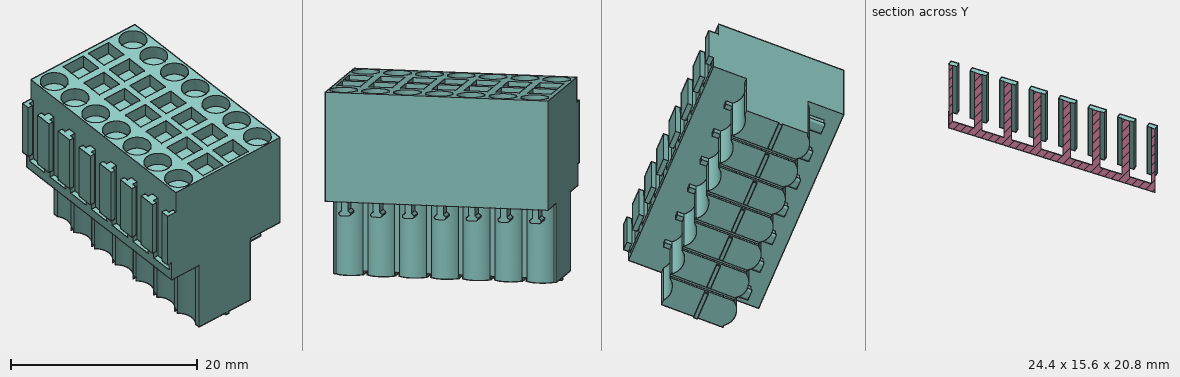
import cadquery as cq

POLES = 7
LENGTH = 24.4
PITCH = LENGTH / POLES
HEIGHT = 20.8
DEPTH = 15.6

HOUSING_BOTTOM = 8.9
WALL_FRONT = 1.15
LEDGE_FRONT = 0.55
RIB_BOTTOM = 11.27
RIB_TOP = 18.08
RIB_HEAD_WIDTH = 1.93
SLOT_WIDTH = 2.55
SLOT_BOTTOM = 10.05

WELL_SHIFT_X = 0.1
WELL_MIDDLE_Y = 8.35
WELL_DEPTH = 1.54
ROUND_DIAMETER = 2.98
ROUND_ROW_OFFSET = 5.47
SQUARE_SIZE_X = 2.59
SQUARE_SIZE_Y = 2.78
SQUARE_ROW_OFFSET = 1.75

PLUG_BOTTOM = 0.3
PLUG_FRONT = 4.05
PLUG_BACK = 11.47
PLUG_END_FRONT = 4.37
RIDGE_WIDTH = 0.54
CURVE_RISE = 0.73
CURVE_CHORD = PITCH - RIDGE_WIDTH
CURVE_RADIUS = (CURVE_CHORD**2 / 4 + CURVE_RISE**2) / (2 * CURVE_RISE)
NOTCH_WIDTH = 0.4
NOTCH_TOP = 0.7

STRIP_MIDDLE_Y = 8.3
STRIP_THICKNESS = 0.45
STRIP_GAP = 0.7

STUB_FRONT = 3.3
STUB_BOTTOM = 8.0

KEY_BACK = 13.85
KEY_BOTTOM = 7.08
KEY_ROUNDING = 0.3
BARB_RISE = 0.3
BARB_WIDTH = 1.3
WEB_WIDTH = 0.7

pole_centres = [(i - (POLES - 1) / 2) * PITCH for i in range(POLES)]
pole_borders = [(i - POLES / 2) * PITCH for i in range(POLES + 1)]
inner_borders = pole_borders[1:-1]


def block(x_range, y_range, z_range):
    """Box given by its lower and upper limits along each axis."""
    lower, upper = zip(x_range, y_range, z_range)
    size = [high - low for low, high in zip(lower, upper)]
    return cq.Workplane("XY").box(*size, centered=False).translate(lower)


def around(middle, width):
    """Lower and upper limit of a width centred on a middle."""
    return (middle - width / 2, middle + width / 2)


def upright_cylinder(x, y, radius, bottom, top):
    return cq.Workplane("XY", origin=(x, y, bottom)).circle(radius).extrude(top - bottom)


def make_housing():
    full_length = around(0, LENGTH)
    housing = block(full_length, (WALL_FRONT, DEPTH), (HOUSING_BOTTOM, HEIGHT))
    housing = housing.union(block(full_length, (LEDGE_FRONT, WALL_FRONT), (HOUSING_BOTTOM, RIB_TOP)))
    for x in pole_borders:
        head = block(around(x, RIB_HEAD_WIDTH), (0, LEDGE_FRONT), (RIB_BOTTOM, RIB_TOP))
        housing = housing.union(head)
    for x in pole_centres:
        slot = block(around(x, SLOT_WIDTH), (LEDGE_FRONT, WALL_FRONT), (SLOT_BOTTOM, RIB_TOP))
        housing = housing.cut(slot)
    return housing.intersect(block(full_length, (0, DEPTH), (HOUSING_BOTTOM, HEIGHT)))


def cut_wells(body):
    floor = HEIGHT - WELL_DEPTH
    for pole_x in pole_centres:
        x = pole_x + WELL_SHIFT_X
        for side in (-1, 1):
            round_y = WELL_MIDDLE_Y + side * ROUND_ROW_OFFSET
            square_y = WELL_MIDDLE_Y + side * SQUARE_ROW_OFFSET
            body = body.cut(upright_cylinder(x, round_y, ROUND_DIAMETER / 2, floor, HEIGHT))
            square = block(around(x, SQUARE_SIZE_X), around(square_y, SQUARE_SIZE_Y), (floor, HEIGHT))
            body = body.cut(square)
    return body


def make_plug():
    z_range = (PLUG_BOTTOM, HOUSING_BOTTOM)
    plug = block(around(0, LENGTH), (PLUG_END_FRONT, PLUG_BACK), z_range)
    plug = plug.union(block(around(0, LENGTH - PITCH), (PLUG_FRONT, PLUG_END_FRONT), z_range))
    flute_y = PLUG_FRONT + CURVE_RISE - CURVE_RADIUS
    column_y = PLUG_BACK + CURVE_RISE - CURVE_RADIUS
    for x in pole_centres:
        behind_pole = block(around(x, PITCH), (PLUG_BACK, DEPTH), z_range)
        column = upright_cylinder(x, column_y, CURVE_RADIUS, *z_range).intersect(behind_pole)
        plug = plug.union(column)
        plug = plug.cut(upright_cylinder(x, flute_y, CURVE_RADIUS, *z_range))
    for x in inner_borders:
        notch = block(around(x, NOTCH_WIDTH), (0, DEPTH), (PLUG_BOTTOM, NOTCH_TOP))
        plug = plug.cut(notch)
    return plug


def make_strips():
    y_range = around(STRIP_MIDDLE_Y, STRIP_THICKNESS)
    strip = block(around(0, LENGTH), y_range, (0, PLUG_BOTTOM))
    for x in inner_borders:
        strip = strip.cut(block(around(x, STRIP_GAP), y_range, (0, PLUG_BOTTOM)))
    return strip


def make_stub(x):
    return block(around(x, RIDGE_WIDTH), (STUB_FRONT, PLUG_END_FRONT), (STUB_BOTTOM, HOUSING_BOTTOM))


def make_key(x):
    barb_z = KEY_BOTTOM + KEY_ROUNDING
    web_z = barb_z + BARB_RISE
    half_barb = BARB_WIDTH / 2
    half_web = WEB_WIDTH / 2
    return (
        cq.Workplane("XZ", origin=(x, KEY_BACK, 0))
        .moveTo(half_web, HOUSING_BOTTOM)
        .lineTo(half_web, web_z)
        .lineTo(half_barb, barb_z)
        .radiusArc((half_barb - KEY_ROUNDING, KEY_BOTTOM), KEY_ROUNDING)
        .lineTo(KEY_ROUNDING - half_barb, KEY_BOTTOM)
        .radiusArc((-half_barb, barb_z), KEY_ROUNDING)
        .lineTo(-half_web, web_z)
        .lineTo(-half_web, HOUSING_BOTTOM)
        .close()
        .extrude(KEY_BACK - PLUG_BACK)
    )


result = cut_wells(make_housing()).union(make_plug()).union(make_strips())
for border_x in inner_borders:
    result = result.union(make_stub(border_x))
for pole_x in pole_centres:
    result = result.union(make_key(pole_x))